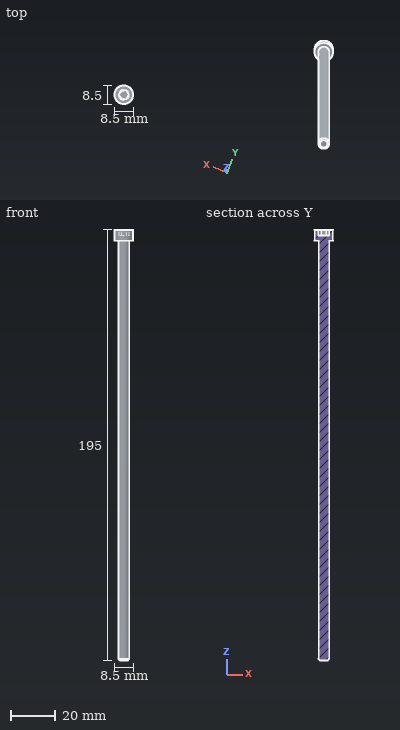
import cadquery as cq
import math

total_length = 195.0
head_diameter = 8.5
head_height = 5.0
shank_diameter = 5.0
thread_length = 22.0
tip_chamfer = 0.8
socket_across_flats = 4.0
socket_depth = 2.5

shank_length = total_length - head_height
socket_across_corners = socket_across_flats / math.cos(math.radians(30))


def make_threaded_end():
    """Plain cylinder standing for the thread, with a chamfered tip."""
    end = cq.Workplane("XY").circle(shank_diameter / 2).extrude(thread_length)
    return end.faces("<Z").chamfer(tip_chamfer)


def make_plain_shank():
    """Unthreaded length between the thread and the head."""
    plane = cq.Workplane("XY").workplane(offset=thread_length)
    return plane.circle(shank_diameter / 2).extrude(shank_length - thread_length)


def make_head():
    """Cylindrical head on top of the shank."""
    plane = cq.Workplane("XY").workplane(offset=shank_length)
    return plane.circle(head_diameter / 2).extrude(head_height)


def make_socket():
    """Hexagonal drive socket sunk into the top of the head."""
    plane = cq.Workplane("XY").workplane(offset=total_length)
    return plane.polygon(6, socket_across_corners).extrude(-socket_depth)


screw = make_threaded_end().union(make_plain_shank(), clean=False).union(make_head(), clean=False)
result = screw.cut(make_socket(), clean=False)